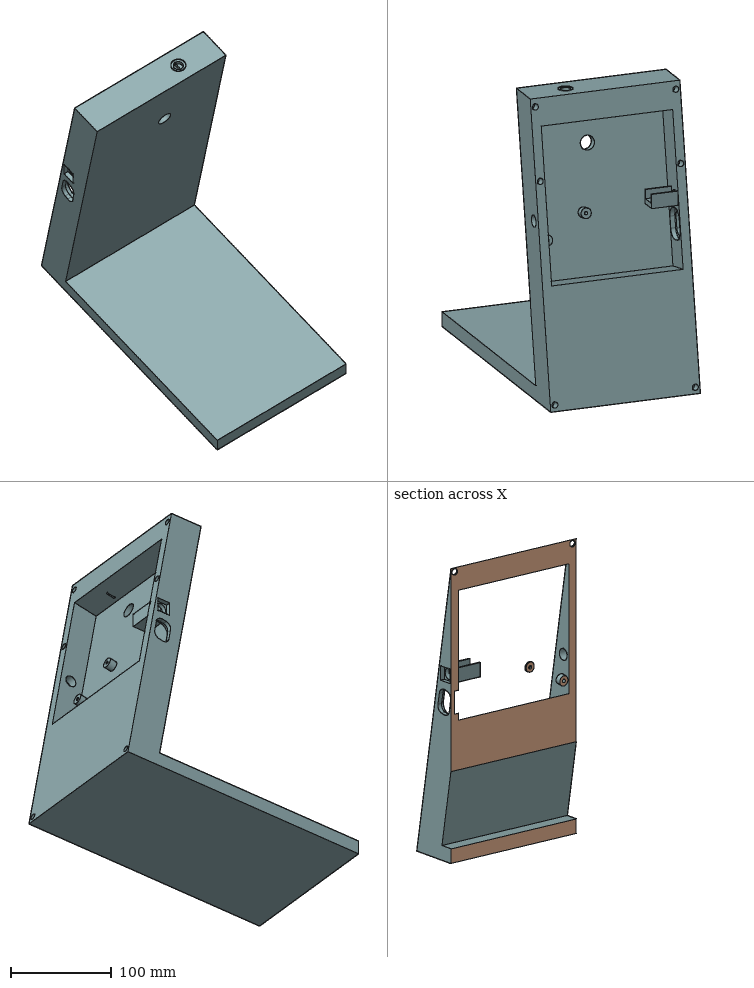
import cadquery as cq
import math

HEIGHT = 310.5
LENGTH = 290.0
WIDTH = 160.0
BASE_THICKNESS = 15.5
LEAN_ANGLE = 10
UPRIGHT_RUN = 37.3

POCKET_START = 126.0
POCKET_END = 287.0
POCKET_WIDTH = 140.3
POCKET_DEPTH = 27.5

SCREW_DIAMETER = 6.2
SCREW_DEPTH = 11.0
SCREW_SPACING = 150.0
SCREW_UPS = (6.8, 232.0, 306.7)

STANDOFFS = ((191.0, 21.0), (168.5, 64.0))
STANDOFF_DIAMETER = 11.0
STANDOFF_HEIGHT = 8.0
STANDOFF_ROOT = 3
PILOT_DIAMETER = 3

BACK_HOLE_UP = 259.8
BACK_HOLE_Y = 11.8
BACK_HOLE_DIAMETER = 15.0
WALL_HOLE_UP = 191.0
WALL_HOLE_DEPTH_CENTER = 12.5
WALL_HOLE_DIAMETER = 12.0

WINDOW_UP = 170.0
WINDOW_DEPTH_CENTER = 14.3
WINDOW_LENGTH = 25.8
WINDOW_WIDTH = 18.0
WINDOW_RADIUS = 6.8
WINDOW_LIP = 4.7
WINDOW_RELIEF = 3.5

SOCKET_X = 45.0
SOCKET_Z = 194.0
SOCKET_SIZE = 15.0
SOCKET_DEPTH = 5.0
SOCKET_BORE = 12.0
CRADLE_LENGTH = 28
CRADLE_WALL = 1.5
CRADLE_FLOOR = 5.3
BORE_RUNOUT = 5.5

TOP_HOLE_Y = 34.8
TOP_RECESS_DIAMETER = 15.0
TOP_RECESS_DEPTH = 1.0
TOP_BORE_DIAMETER = 10.0
TOP_BORE_DEPTH = 4.7
TOP_SLOT_WIDTH = 2.0
TOP_SLOT_LENGTH = 10.0

LEAN = math.radians(LEAN_ANGLE)
SLOPE = math.tan(LEAN)
SLOPE_LENGTH = HEIGHT / math.cos(LEAN)
UPRIGHT_THICKNESS = UPRIGHT_RUN * math.cos(LEAN)
WALL = (WIDTH - POCKET_WIDTH) / 2
RIGHT_SIDE = -WIDTH / 2
POCKET_RIGHT = -POCKET_WIDTH / 2


def lean(shape):
    """Tilt a shape built against an upright face at X = 0 (X inward, Z up the face)."""
    return shape.rotate((0, 0, 0), (0, 1, 0), LEAN_ANGLE)


def block(x_start, x_end, y_start, y_end, z_start, z_end):
    size = (x_end - x_start, y_end - y_start, z_end - z_start)
    return cq.Workplane("XY").box(*size, centered=False).translate((x_start, y_start, z_start))


def rod_x(x, y, z, diameter, length):
    solid = cq.Solid.makeCylinder(diameter / 2, length, cq.Vector(x, y, z), cq.Vector(1, 0, 0))
    return cq.Workplane(obj=solid)


def rod_y(x, y, z, diameter, length):
    solid = cq.Solid.makeCylinder(diameter / 2, length, cq.Vector(x, y, z), cq.Vector(0, 1, 0))
    return cq.Workplane(obj=solid)


def make_stand():
    outline = [
        (0, 0),
        (LENGTH, 0),
        (LENGTH, BASE_THICKNESS),
        (BASE_THICKNESS * SLOPE + UPRIGHT_RUN, BASE_THICKNESS),
        (HEIGHT * SLOPE + UPRIGHT_RUN, HEIGHT),
        (HEIGHT * SLOPE, HEIGHT),
    ]
    return cq.Workplane("XZ").polyline(outline).close().extrude(WIDTH / 2, both=True)


def cut_pocket(body):
    half = POCKET_WIDTH / 2
    return body.cut(lean(block(0, POCKET_DEPTH, -half, half, POCKET_START, POCKET_END)))


def cut_screw_holes(body):
    for up in SCREW_UPS:
        for y in (-SCREW_SPACING / 2, SCREW_SPACING / 2):
            body = body.cut(lean(rod_x(0, y, up, SCREW_DIAMETER, SCREW_DEPTH)))
    return body


def add_standoffs(body):
    tip = POCKET_DEPTH - STANDOFF_HEIGHT
    for up, y in STANDOFFS:
        post = rod_x(tip, y, up, STANDOFF_DIAMETER, STANDOFF_HEIGHT + STANDOFF_ROOT)
        pilot = rod_x(tip, y, up, PILOT_DIAMETER, STANDOFF_HEIGHT)
        body = body.union(lean(post)).cut(lean(pilot))
    return body


def cut_round_openings(body):
    back_hole = rod_x(0, BACK_HOLE_Y, BACK_HOLE_UP, BACK_HOLE_DIAMETER, 2 * UPRIGHT_THICKNESS)
    wall_hole = rod_y(WALL_HOLE_DEPTH_CENTER, WIDTH / 2 - WALL, WALL_HOLE_UP, WALL_HOLE_DIAMETER, WALL)
    return body.cut(lean(back_hole)).cut(lean(wall_hole))


def window_block(margin, y_start, y_end):
    """Rounded window enlarged by margin, running through the right wall between two Y values."""
    return (
        cq.Workplane("XY")
        .box(WINDOW_WIDTH + 2 * margin, y_end - y_start, WINDOW_LENGTH + 2 * margin)
        .edges("|Y")
        .fillet(WINDOW_RADIUS + margin)
        .translate((WINDOW_DEPTH_CENTER, (y_start + y_end) / 2, WINDOW_UP))
    )


def cut_window(body):
    window = window_block(0, RIGHT_SIDE, POCKET_RIGHT)
    relief = window_block(WINDOW_RELIEF, RIGHT_SIDE + WINDOW_LIP, POCKET_RIGHT)
    return body.cut(lean(window)).cut(lean(relief))


def add_socket(body):
    half = SOCKET_SIZE / 2
    bottom = SOCKET_Z - half
    top = SOCKET_Z + half
    end = POCKET_RIGHT + CRADLE_LENGTH
    outer = half + CRADLE_WALL
    cradle = block(SOCKET_X - outer, SOCKET_X + outer, POCKET_RIGHT, end, bottom, top)
    channel = block(SOCKET_X - half, SOCKET_X + half, POCKET_RIGHT, end, bottom + CRADLE_FLOOR, top)
    recess = block(
        SOCKET_X - half, SOCKET_X + half, RIGHT_SIDE, RIGHT_SIDE + SOCKET_DEPTH, bottom, top
    )
    bore = rod_y(SOCKET_X, RIGHT_SIDE, SOCKET_Z, SOCKET_BORE, WALL + BORE_RUNOUT)
    return body.union(cradle.cut(channel)).cut(recess).cut(bore)


def cut_top_opening(body):
    axis_x = UPRIGHT_THICKNESS / 2
    axis_up = SLOPE_LENGTH + axis_x * SLOPE
    slot = block(
        axis_x - TOP_SLOT_LENGTH / 2,
        axis_x + TOP_SLOT_LENGTH / 2,
        TOP_HOLE_Y - TOP_SLOT_WIDTH / 2,
        TOP_HOLE_Y + TOP_SLOT_WIDTH / 2,
        POCKET_END,
        axis_up,
    )
    body = body.cut(lean(slot))
    steps = ((TOP_RECESS_DIAMETER, TOP_RECESS_DEPTH), (TOP_BORE_DIAMETER, TOP_BORE_DEPTH))
    center_x = HEIGHT * SLOPE + UPRIGHT_RUN / 2
    for diameter, depth in steps:
        step = cq.Workplane("XY").circle(diameter / 2).extrude(-depth)
        body = body.cut(step.translate((center_x, TOP_HOLE_Y, HEIGHT)))
    return body


result = make_stand()
result = cut_pocket(result)
result = cut_screw_holes(result)
result = add_standoffs(result)
result = cut_round_openings(result)
result = cut_window(result)
result = add_socket(result)
result = cut_top_opening(result)